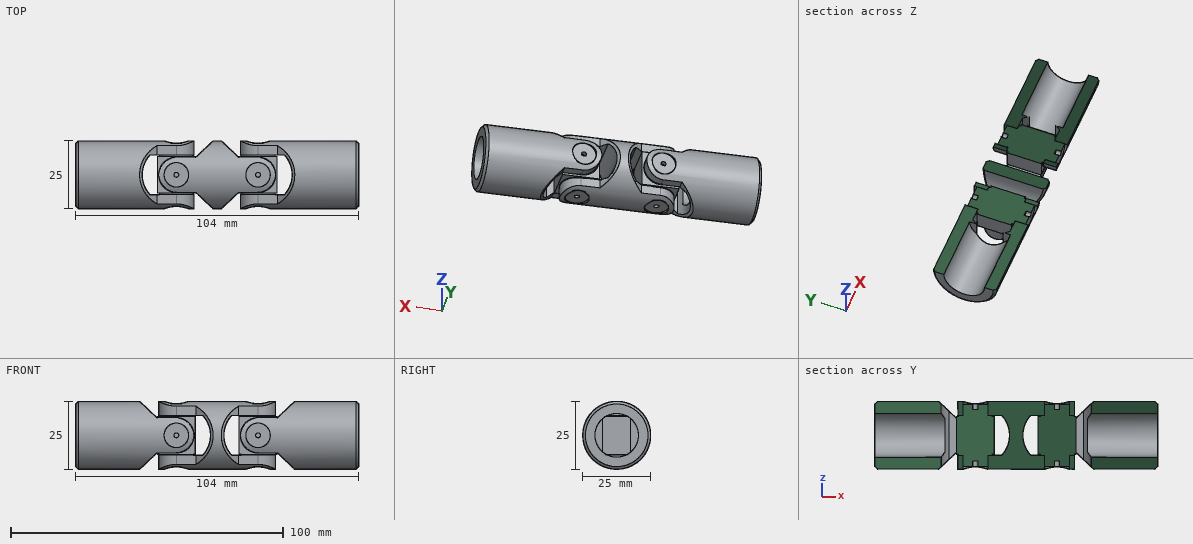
import cadquery as cq
import math

body_diameter = 25.0
body_radius = body_diameter / 2
overall_length = 104.0
left_end = -overall_length / 2
joint_spacing = 30.0
joint_x = joint_spacing / 2
end_chamfer = 1.0
bore_diameter = 16.0
bore_depth = 25.8

arm_width = 13.0
arm_tip_radius = arm_width / 2
arm_gap = 14.5
arm_root = 7.15
bevel_start = 13.5
slot_depth = 12.5
slot_end_radius = 10.8

block_length = 14.0
block_width = 13.5
block_height = 14.0
boss_diameter = 12.5
pin_diameter = 9.0
pin_recess = 1.0
pin_span = body_diameter - 2 * pin_recess
center_hole_diameter = 1.8
center_hole_depth = 2.0


def cylinder_across(plane, diameter, span):
    """Cylinder through the origin, square to the plane and centred on it."""
    return cq.Workplane(plane).circle(diameter / 2).extrude(span / 2, both=True)


def fork_flank():
    """Material removed above the arms: a bevel, a straight flank and a quarter of the round arm tip."""
    return (
        cq.Workplane("XZ")
        .moveTo(-bevel_start, body_radius)
        .lineTo(-arm_root, arm_tip_radius)
        .lineTo(0, arm_tip_radius)
        .radiusArc((arm_tip_radius, 0), arm_tip_radius)
        .lineTo(body_radius, 0)
        .lineTo(body_radius, body_radius)
        .close()
        .extrude(body_radius, both=True)
    )


def fork_slot():
    """Slot between the arms, closed by a round end."""
    half_gap = arm_gap / 2
    end_center_x = slot_end_radius - slot_depth
    wall_end_x = end_center_x - math.sqrt(slot_end_radius**2 - half_gap**2)
    return (
        cq.Workplane("XY")
        .moveTo(body_radius, half_gap)
        .lineTo(wall_end_x, half_gap)
        .threePointArc((-slot_depth, 0), (wall_end_x, -half_gap))
        .lineTo(body_radius, -half_gap)
        .close()
        .extrude(body_radius, both=True)
    )


def fork_cutter():
    """All material removed to form a fork at the origin, with arms apart along Y and pointing to +X."""
    flank = fork_flank()
    pin_hole = cylinder_across("XZ", pin_diameter, body_diameter)
    return flank.union(flank.mirror("XY")).union(fork_slot()).union(pin_hole)


def make_end_yoke():
    """Left end yoke with a blind bore and arms apart along Y."""
    left_face = cq.Workplane("YZ", origin=(left_end, 0, 0))
    length = arm_tip_radius - joint_x - left_end
    blank = left_face.circle(body_radius).extrude(length).faces("<X").chamfer(end_chamfer)
    bore = left_face.circle(bore_diameter / 2).extrude(bore_depth)
    return blank.cut(bore).cut(fork_cutter().translate((-joint_x, 0, 0)))


def make_middle_yoke():
    """Yoke with a fork at each end, arms apart along Z."""
    blank = cylinder_across("YZ", body_diameter, 2 * (joint_x + arm_tip_radius))
    left_cutter = fork_cutter().mirror("YZ").rotate((0, 0, 0), (1, 0, 0), 90).translate((-joint_x, 0, 0))
    return blank.cut(left_cutter).cut(left_cutter.mirror("YZ"))


def make_cross(center_x):
    """Block with bosses that touch the arms and center-drilled pins along Y and Z."""
    cross = cq.Workplane("XY").box(block_length, block_width, block_height)
    for plane in ("XZ", "XY"):
        cross = cross.union(cylinder_across(plane, boss_diameter, arm_gap))
        cross = cross.union(cylinder_across(plane, pin_diameter, pin_span))
    for plane in ("XZ", "XY"):
        hole_core = cylinder_across(plane, center_hole_diameter, pin_span - 2 * center_hole_depth)
        cross = cross.cut(cylinder_across(plane, center_hole_diameter, pin_span).cut(hole_core))
    return cross.translate((center_x, 0, 0))


left_yoke = make_end_yoke()
right_yoke = left_yoke.mirror("YZ")
middle_yoke = make_middle_yoke()
crosses = [make_cross(center_x) for center_x in (-joint_x, joint_x)]

result = cq.Compound.makeCompound(
    [left_yoke.val(), middle_yoke.val(), right_yoke.val(), *[cross.val() for cross in crosses]]
)